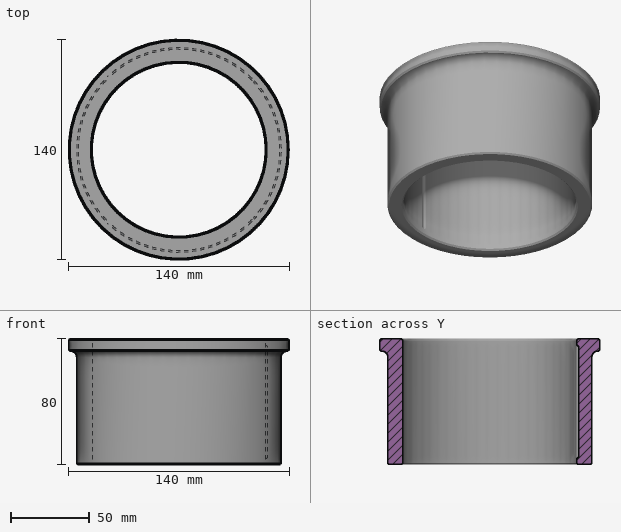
import cadquery as cq
import math

flange_diameter = 140.0
sleeve_diameter = 130.0
bore_diameter = 110.0
total_height = 80.0
flange_thickness = 8.0
edge_chamfer = 1.0
neck_fillet = 3.5

groove_radius = 1.6
groove_depth = 1.3
groove_end_margin = 4.0

flange_radius = flange_diameter / 2
sleeve_radius = sleeve_diameter / 2
bore_radius = bore_diameter / 2
flange_bottom = total_height - flange_thickness


def make_body():
    """Revolved flanged sleeve with chamfered edges and a fillet below the flange."""
    fillet_outer = sleeve_radius + neck_fillet
    fillet_bottom = flange_bottom - neck_fillet
    arc_offset = neck_fillet * math.sqrt(0.5)
    arc_middle = (fillet_outer - arc_offset, fillet_bottom + arc_offset)

    profile = (
        cq.Workplane("XZ")
        .moveTo(bore_radius + edge_chamfer, 0)
        .lineTo(sleeve_radius - edge_chamfer, 0)
        .lineTo(sleeve_radius, edge_chamfer)
        .lineTo(sleeve_radius, fillet_bottom)
        .threePointArc(arc_middle, (fillet_outer, flange_bottom))
        .lineTo(flange_radius - edge_chamfer, flange_bottom)
        .lineTo(flange_radius, flange_bottom + edge_chamfer)
        .lineTo(flange_radius, total_height - edge_chamfer)
        .lineTo(flange_radius - edge_chamfer, total_height)
        .lineTo(bore_radius + edge_chamfer, total_height)
        .lineTo(bore_radius, total_height - edge_chamfer)
        .lineTo(bore_radius, edge_chamfer)
        .close()
    )
    return profile.revolve(360, (0, 0, 0), (0, 1, 0))


def make_groove_cutter():
    """Ball-ended round bar that cuts the groove on the +X side of the bore."""
    centre_x = bore_radius + groove_depth - groove_radius
    bottom_ball_z = groove_end_margin + groove_radius
    top_ball_z = total_height - bottom_ball_z
    cutter = (
        cq.Workplane("XY", origin=(centre_x, 0, bottom_ball_z))
        .circle(groove_radius)
        .extrude(top_ball_z - bottom_ball_z)
    )
    for ball_z in (bottom_ball_z, top_ball_z):
        ball = cq.Workplane("XY", origin=(centre_x, 0, ball_z)).sphere(groove_radius)
        cutter = cutter.union(ball)
    return cutter


result = make_body().cut(make_groove_cutter())